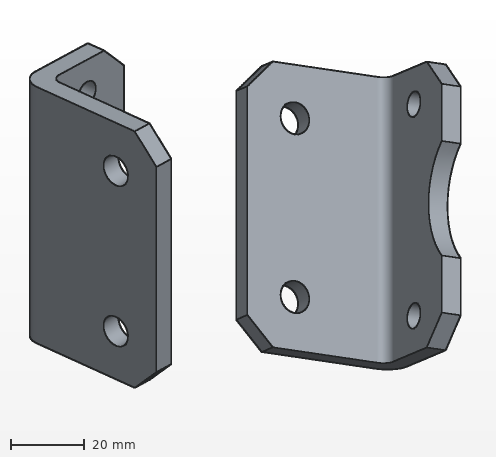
import cadquery as cq

height = 80.0
front_length = 50.0
side_length = 35.0
thickness = 6.0
outer_bend_radius = thickness
inner_bend_radius = outer_bend_radius / 2
corner_chamfer = 8.0

front_hole_diameter = 9.0
front_hole_x = 35.0
front_hole_spacing = 50.0

side_hole_diameter = 7.0
side_hole_spacing = 59.2
relief_radius = 21.8
relief_depth = 7.0
relief_center_y = side_length - relief_depth + relief_radius
side_hole_y = relief_center_y - side_hole_spacing / 2


def make_angle():
    """Extrude the L section, centred on Z = 0, and round its bend."""
    angle = (
        cq.Workplane("XY")
        .polyline([
            (0, 0),
            (front_length, 0),
            (front_length, thickness),
            (thickness, thickness),
            (thickness, side_length),
            (0, side_length),
        ])
        .close()
        .extrude(height / 2, both=True)
    )
    angle = angle.edges(cq.NearestToPointSelector((0, 0, 0))).fillet(outer_bend_radius)
    inner_corner = cq.NearestToPointSelector((thickness, thickness, 0))
    return angle.edges(inner_corner).fillet(inner_bend_radius)


def chamfer_free_corners(angle):
    """Cut the top and bottom corners at the free end of each leg."""
    angle = angle.faces(">X").edges("|Y").chamfer(corner_chamfer)
    return angle.faces(">Y").edges("|X").chamfer(corner_chamfer)


def front_holes():
    """Cylinders along Y through the front leg."""
    half_spacing = front_hole_spacing / 2
    return (
        cq.Workplane("XZ")
        .pushPoints([(front_hole_x, z) for z in (-half_spacing, half_spacing)])
        .circle(front_hole_diameter / 2)
        .extrude(-thickness)
    )


def side_holes():
    """Cylinders along X through the side leg."""
    half_spacing = side_hole_spacing / 2
    return (
        cq.Workplane("YZ")
        .pushPoints([(side_hole_y, z) for z in (-half_spacing, half_spacing)])
        .circle(side_hole_diameter / 2)
        .extrude(thickness)
    )


def side_relief():
    """Cylinder that scoops an arc from the free edge of the side leg."""
    return (
        cq.Workplane("YZ")
        .center(relief_center_y, 0)
        .circle(relief_radius)
        .extrude(thickness)
    )


result = chamfer_free_corners(make_angle())
result = result.cut(front_holes()).cut(side_holes()).cut(side_relief())